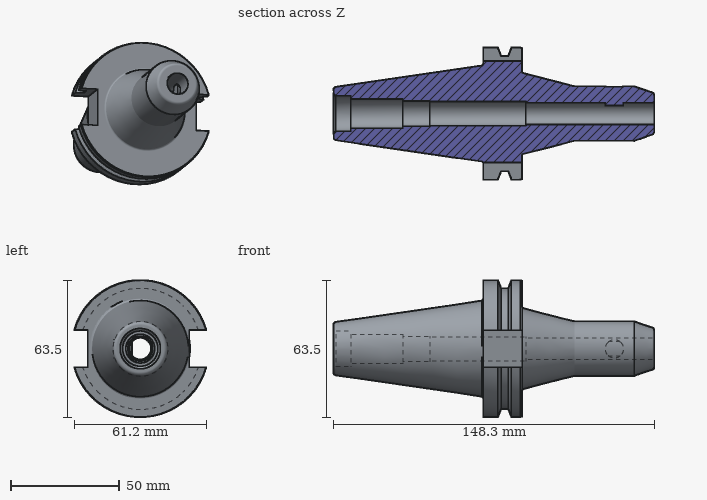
import cadquery as cq
import math

length = 148.3

gauge_diameter = 44.5
gauge_x = 68.5
taper_radius_slope = 7 / 48
rear_fillet = 1.6

flange_radius = 63.5 / 2
flange_rear = 69.3
flange_front = 87.2
flange_root_radius = 23.5
groove_rear = 76.1
groove_front = 82.3
groove_depth = 3.7
groove_wall_run = 1.5
rim_chamfer_length = 0.9
rim_chamfer_depth = 0.3

slot_width = 17.0
slot_floor_plus_y = 24.3
slot_floor_minus_y = 22.7

neck_start = 88.1
neck_start_radius = 18.7
neck_root_fillet = neck_start - flange_front
shank_start = 111.4
shank_radius = 25.4 / 2
nose_start = 139.0
nose_end_radius = 9.5
nose_fillet = 1.3

mouth_diameter = 18.7
bore_steps = ((16.3, 8.0), (13.3, 32.0), (11.5, 44.5), (11.1, 89.0), (10.0, length))

screw_x = 129.8
screw_diameter = 8.5
screw_tip_y = 3.7
screw_head_y = 12.5


def turned_body():
    rear_radius = gauge_diameter / 2 - gauge_x * taper_radius_slope
    groove_radius = flange_radius - groove_depth
    root_run = flange_rear - gauge_x
    root_rise = flange_root_radius - gauge_diameter / 2
    diagonal = math.sqrt(0.5)
    root_middle = (
        gauge_x + root_run * diagonal,
        flange_root_radius - root_rise * diagonal,
    )
    neck_middle = (
        neck_start - neck_root_fillet * diagonal,
        neck_start_radius + neck_root_fillet * (1 - diagonal),
    )
    body = (
        cq.Workplane("XY")
        .moveTo(0, 0)
        .lineTo(0, rear_radius)
        .lineTo(gauge_x, gauge_diameter / 2)
        .threePointArc(root_middle, (flange_rear, flange_root_radius))
        .lineTo(flange_rear, flange_radius)
        .lineTo(groove_rear, flange_radius)
        .lineTo(groove_rear + groove_wall_run, groove_radius)
        .lineTo(groove_front - groove_wall_run, groove_radius)
        .lineTo(groove_front, flange_radius)
        .lineTo(flange_front - rim_chamfer_length, flange_radius)
        .lineTo(flange_front, flange_radius - rim_chamfer_depth)
        .lineTo(flange_front, neck_start_radius + neck_root_fillet)
        .threePointArc(neck_middle, (neck_start, neck_start_radius))
        .lineTo(shank_start, shank_radius)
        .lineTo(nose_start, shank_radius)
        .lineTo(length, nose_end_radius)
        .lineTo(length, 0)
        .close()
        .revolve(360, (0, 0, 0), (1, 0, 0))
    )
    body = body.faces("<X").edges().fillet(rear_fillet)
    return body.faces(">X").edges().fillet(nose_fillet)


def drive_slot(floor_y, side):
    slot_depth = flange_radius - floor_y
    slot_x = (flange_rear + flange_front) / 2
    slot_y = side * (floor_y + slot_depth / 2)
    return (
        cq.Workplane("XY", origin=(slot_x, slot_y, 0))
        .box(flange_front - flange_rear, slot_depth, slot_width)
    )


def stepped_bore():
    entry_diameter = bore_steps[0][0]
    mouth_depth = (mouth_diameter - entry_diameter) / 2
    bore = (
        cq.Workplane("YZ")
        .circle(mouth_diameter / 2)
        .workplane(offset=mouth_depth)
        .circle(entry_diameter / 2)
        .loft()
    )
    step_start = 0
    for diameter, step_end in bore_steps:
        step = (
            cq.Workplane("YZ", origin=(step_start, 0, 0))
            .circle(diameter / 2)
            .extrude(step_end - step_start)
        )
        bore = bore.union(step)
        step_start = step_end
    return bore


def screw_cylinder(start_y, end_y):
    return (
        cq.Workplane("XZ", origin=(screw_x, start_y, 0))
        .circle(screw_diameter / 2)
        .extrude(start_y - end_y)
    )


result = turned_body()
result = result.cut(drive_slot(slot_floor_plus_y, 1))
result = result.cut(drive_slot(slot_floor_minus_y, -1))
result = result.cut(stepped_bore())
result = result.cut(screw_cylinder(screw_tip_y, shank_radius))
result = result.union(screw_cylinder(screw_tip_y, screw_head_y))